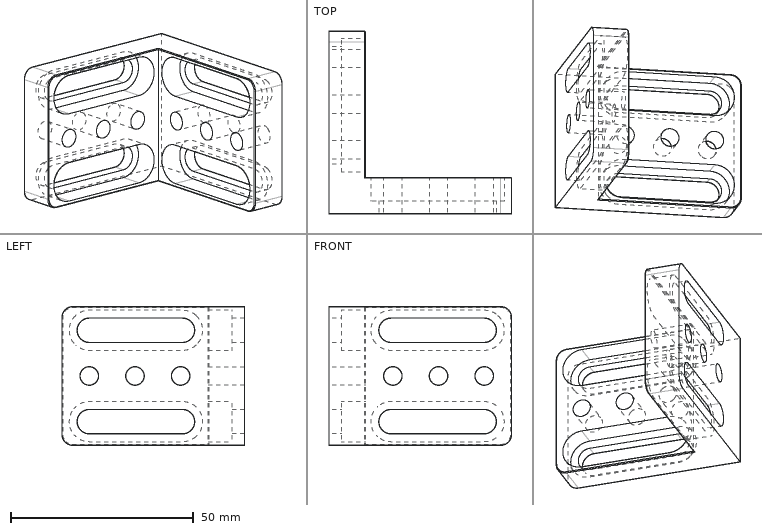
import cadquery as cq

leg_length = 50.0
height = 38.0
thickness = 10.0
corner_radius = 3.0
inner_chamfer = 0.25

hole_diameter = 5.0
hole_pitch = 12.5
hole_count = 3
hole_row_center = 30.0

slot_width = 6.6
slot_travel = 25.5
slot_center = 29.75
slot_offset = 12.5
counterbore_width = 11.0
counterbore_depth = 6.5

mid_height = height / 2


def plate_blank():
    """Plate along X with its outer face on Y = 0 and its two free corners rounded."""
    plate = cq.Workplane("XY").box(leg_length, thickness, height, centered=False)
    return plate.edges("|Y and >X").fillet(corner_radius)


def chamfer_inner_face(plate):
    """Break the free edges of the inner face; the edge at X = 0 lies in the other plate."""
    return plate.faces(">Y").edges("not <X").chamfer(inner_chamfer)


def face_sketch_plane(depth):
    """Plane parallel to the plate at a given depth; local X runs along the plate, local Y is Z."""
    return cq.Workplane("XZ", origin=(0, depth, 0))


def hole_row():
    first_hole = hole_row_center - hole_pitch * (hole_count - 1) / 2
    centers = [(first_hole + i * hole_pitch, mid_height) for i in range(hole_count)]
    return face_sketch_plane(0).pushPoints(centers).circle(hole_diameter / 2).extrude(-thickness)


def slot_pair(width, start_depth):
    """Two slots of the given width, cut from start_depth through to the inner face."""
    centers = [(slot_center, mid_height + side * slot_offset) for side in (-1, 1)]
    return (
        face_sketch_plane(start_depth)
        .pushPoints(centers)
        .slot2D(slot_travel + width, width)
        .extrude(start_depth - thickness)
    )


def plate_cutouts():
    counterbores = slot_pair(counterbore_width, thickness - counterbore_depth)
    return hole_row().union(slot_pair(slot_width, 0)).union(counterbores)


def swap_x_and_y(body):
    """Mirror across the plane X = Y, which carries one plate onto the other."""
    return body.mirror("YZ").rotate((0, 0, 0), (0, 0, 1), -90)


plate = chamfer_inner_face(plate_blank())
cutouts = plate_cutouts()

bracket = plate.union(swap_x_and_y(plate))
result = bracket.cut(cutouts).cut(swap_x_and_y(cutouts))